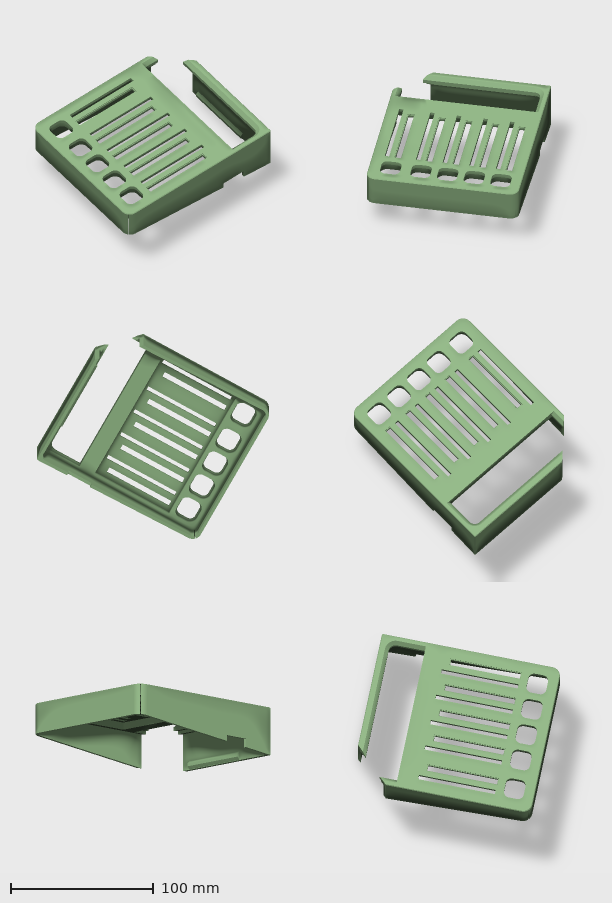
import cadquery as cq

width = 108.5
length = 128.5
back_height = 34.0
front_height = 21.6
wall = 2.2
front_corner_radius = 6.4
edge_chamfer = 0.5
back_edge_chamfer = 0.5
corner_cut = 24.9

roof = 7.6
slot_panel = 2.5
inner_back_chamfer = 2.6
slot_pocket_side = 5.4
slot_pocket_front = 25.0
slot_pocket_back = 84.8

window_side = 5.7
window_front = 96.5
window_back = 121.7
window_radius = 5.0
window_flare = 2.6
recess_ceiling = 5.3
recess_side_margin = 1.3
recess_back_margin = 2.2

column_pitch = 19.0
column_count = 5
first_button_x = 15.4
second_button_x = 37.0
button_y = 14.4
button_size = 14.1
button_radius = 4.1
button_panel = 2.7
button_relief = 1.0

first_slot_x = 10.3
second_slot_x = 32.5
slot_front = 27.2
narrow_slot_width = 3.1
narrow_slot_length = 55.0
wide_slot_offset = 8.0
wide_slot_width = 4.0
wide_slot_length = 50.0
wide_slot_ledge = 0.5
wide_slot_mouth_depth = 0.5

rib_length = 50.1
rib_depth = 1.9
rib_top = 27.6
rib_height = 5.9

notch_front = 85.5
notch_back = 104.1
notch_top = 25.7
slit_width = 0.5
slit_reach = 2.6


def box(x0, x1, y0, y1, z0, z1):
    return cq.Workplane("XY").box(x1 - x0, y1 - y0, z1 - z0, centered=False).translate((x0, y0, z0))


def below_underside():
    """Everything under the sloping bottom plane."""
    reach = back_height - front_height
    return (
        cq.Workplane("YZ")
        .polyline([
            (0, -front_height),
            (length, -back_height),
            (length, -back_height - reach),
            (0, -back_height - reach),
        ])
        .close()
        .extrude(width)
    )


def housing():
    outer = box(0, width, 0, length, -back_height, 0)
    outer = outer.edges("|Z and <Y").fillet(front_corner_radius)
    outer = outer.edges("|Z and >Y").chamfer(back_edge_chamfer)
    outer = outer.faces(">Z").edges().chamfer(edge_chamfer)
    cavity = box(wall, width - wall, wall, length - wall, -back_height, -roof)
    cavity = cavity.edges("|Z and <Y").fillet(front_corner_radius - wall)
    cavity = cavity.edges("|Z and >Y").chamfer(inner_back_chamfer)
    return outer.cut(cavity)


def snap_rib():
    inner_face = length - wall
    return (
        cq.Workplane("YZ")
        .polyline([
            (inner_face, -rib_top),
            (inner_face - rib_depth, -rib_top - rib_depth),
            (inner_face - rib_depth, -rib_top - rib_height + rib_depth),
            (inner_face, -rib_top - rib_height),
        ])
        .close()
        .extrude(rib_length)
        .translate(((width - rib_length) / 2, 0, 0))
    )


def window_profile(margin):
    """Window outline grown on the sides and back; the front edge stays in place."""
    x0 = window_side - margin
    x1 = width - x0
    y1 = window_back + margin
    radius = window_radius + margin
    return (
        cq.Sketch()
        .push([((x0 + x1) / 2, (window_front + y1) / 2)])
        .rect(x1 - x0, y1 - window_front)
        .reset()
        .vertices(">Y")
        .fillet(radius)
    )


def window():
    through = cq.Workplane("XY").workplane(offset=-roof).placeSketch(window_profile(0)).extrude(roof)
    flare = (
        cq.Workplane("XY")
        .placeSketch(
            window_profile(0).moved(cq.Location(cq.Vector(0, 0, -window_flare))),
            window_profile(window_flare),
        )
        .loft()
    )
    recess = box(
        window_side - recess_side_margin,
        width - window_side + recess_side_margin,
        window_front,
        window_back + recess_back_margin,
        -roof,
        -recess_ceiling,
    )
    return through.union(flare).union(recess)


def column_positions(first, second):
    return [first] + [second + column_pitch * i for i in range(column_count - 1)]


def rounded_block(size, radius, height):
    return cq.Workplane("XY").rect(size, size).extrude(height).edges("|Z").fillet(radius)


def button_hole(x):
    relief_size = button_size + 2 * button_relief
    through = rounded_block(button_size, button_radius, roof)
    relief = rounded_block(relief_size, button_radius + button_relief, roof - button_panel)
    return through.union(relief).translate((x, button_y, -roof))


def slot(x, y_front, slot_width, slot_length, depth):
    return box(x - slot_width / 2, x + slot_width / 2, y_front, y_front + slot_length, -depth, 0)


def slot_pair(x):
    wide_x = x + wide_slot_offset
    narrow = slot(x, slot_front, narrow_slot_width, narrow_slot_length, roof)
    wide = slot(wide_x, slot_front, wide_slot_width, wide_slot_length, roof)
    mouth = slot(
        wide_x,
        slot_front - wide_slot_ledge,
        wide_slot_width + 2 * wide_slot_ledge,
        wide_slot_length + 2 * wide_slot_ledge,
        wide_slot_mouth_depth,
    )
    return narrow.union(wide).union(mouth)


def corner_slit(x, angle):
    """Thin diagonal slit through a rounded front corner, below the top chamfer."""
    return (
        cq.Workplane("XY")
        .box(2 * slit_reach, slit_width, back_height - edge_chamfer, centered=(True, True, False))
        .translate((-front_corner_radius, 0, -back_height))
        .rotate((0, 0, 0), (0, 0, 1), angle)
        .translate((x, front_corner_radius, 0))
    )


def slot_pocket():
    return box(
        slot_pocket_side,
        width - slot_pocket_side,
        slot_pocket_front,
        slot_pocket_back,
        -roof,
        -slot_panel,
    )


def right_wall_notch():
    return box(width - wall, width, notch_front, notch_back, -back_height, -notch_top)


def back_left_corner():
    return (
        cq.Workplane("XY")
        .polyline([(0, length), (corner_cut, length), (0, length - corner_cut)])
        .close()
        .extrude(-back_height)
    )


result = housing().union(snap_rib())
result = result.cut(window()).cut(slot_pocket())
for button_x in column_positions(first_button_x, second_button_x):
    result = result.cut(button_hole(button_x))
for slot_x in column_positions(first_slot_x, second_slot_x):
    result = result.cut(slot_pair(slot_x))
result = result.cut(below_underside()).cut(right_wall_notch())
result = result.cut(corner_slit(front_corner_radius, 45))
result = result.cut(corner_slit(width - front_corner_radius, 135))
result = result.cut(back_left_corner())